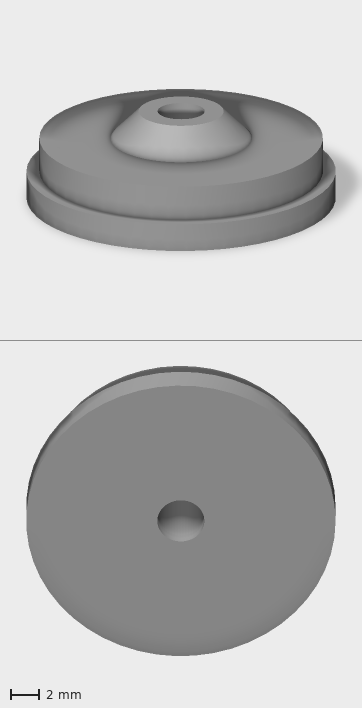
import cadquery as cq

flange_diameter = 21.8
body_diameter = 20.0
cone_base_diameter = 10.0
cone_top_diameter = 6.0
bore_diameter = 3.31

flange_top = 2.0
body_top = 4.5
total_height = 6.5

turned_body = (
    cq.Workplane("XZ")
    .moveTo(0, 0)
    .lineTo(flange_diameter / 2, 0)
    .lineTo(flange_diameter / 2, flange_top)
    .lineTo(body_diameter / 2, flange_top)
    .lineTo(body_diameter / 2, body_top)
    .lineTo(cone_base_diameter / 2, body_top)
    .lineTo(cone_top_diameter / 2, total_height)
    .lineTo(0, total_height)
    .close()
    .revolve(360, (0, 0, 0), (0, 1, 0))
)

bore = cq.Workplane("XY").circle(bore_diameter / 2).extrude(total_height)

result = turned_body.cut(bore)